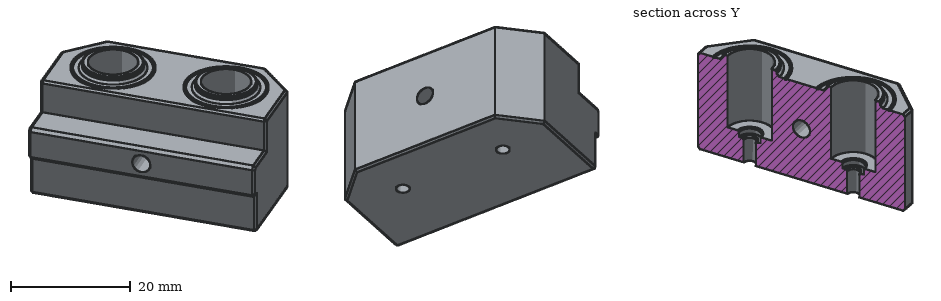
import cadquery as cq

length = 40.0
depth = 22.75
total_height = 20.0
spigot_height = 1.1
block_height = total_height - spigot_height

upper_setback = 6.0
lower_setback = 1.0
rail_bottom = 7.0
rail_top = 13.0
rail_chamfer = 0.6

corner_cut = 6.0
edge_chamfer = 0.4

cross_hole_diameter = 3.2
cross_hole_z = (rail_bottom + rail_top) / 2

bushing_spacing = 20.0
bushing_y = depth - 8.5
seat_diameter = 14.25
groove_depth = 0.25
groove_wall_run = 0.15
groove_rim_run = 0.3
cone_base_diameter = 11.5
cone_height = 0.5
spigot_diameter = 10.45
spigot_chamfer = 0.25

bore_diameter = 8.45
bore_depth = 14.0
recess_diameter = 4.1
recess_chamfer = 0.25
recess_depth = 1.2
through_diameter = 2.3
through_chamfer = 0.3


def revolved(points):
    """Solid of revolution about the Z axis from (radius, height) points."""
    return cq.Workplane("XZ").polyline(points).close().revolve(360, (0, 0, 0), (0, 1, 0))


def stepped_block():
    """Side profile with a projecting rail, its back corners cut and its outer edges chamfered."""
    profile = [
        (lower_setback, 0),
        (depth, 0),
        (depth, block_height),
        (upper_setback, block_height),
        (upper_setback, rail_top),
        (0, rail_top),
        (0, rail_bottom),
        (lower_setback, rail_bottom),
    ]
    block = cq.Workplane("YZ").polyline(profile).close().extrude(length / 2, both=True)
    block = block.edges("|Z and >Y").chamfer(corner_cut)
    block = block.edges("|X and <Y").chamfer(rail_chamfer)
    end_edges = block.faces("<X or >X").edges("not(|Z and >Y)")
    block = end_edges.add(block.faces("<Z or >Z").edges()).chamfer(edge_chamfer)
    return block


def spigot():
    """Raised collar: a cone rising from the top face to a short chamfered cylinder."""
    radius = spigot_diameter / 2
    return revolved([
        (0, block_height),
        (cone_base_diameter / 2, block_height),
        (radius, block_height + cone_height),
        (radius, total_height - spigot_chamfer),
        (radius - spigot_chamfer, total_height),
        (0, total_height),
    ])


def seat_groove():
    """V-groove around the bushing, steeper on its outer side than on the bushing rim."""
    outer_radius = seat_diameter / 2
    root_radius = outer_radius - groove_wall_run
    return revolved([
        (outer_radius, block_height),
        (root_radius, block_height - groove_depth),
        (root_radius - groove_rim_run, block_height),
    ])


def stepped_bore():
    """Large bore, chamfered recess and chamfered through hole on one axis."""
    bore_radius = bore_diameter / 2
    recess_radius = recess_diameter / 2
    through_radius = through_diameter / 2
    bore_floor = total_height - bore_depth
    recess_floor = bore_floor - recess_depth
    return revolved([
        (0, 0),
        (through_radius, 0),
        (through_radius, recess_floor - through_chamfer),
        (through_radius + through_chamfer, recess_floor),
        (recess_radius, recess_floor),
        (recess_radius, bore_floor - recess_chamfer),
        (recess_radius + recess_chamfer, bore_floor),
        (bore_radius, bore_floor),
        (bore_radius, total_height),
        (0, total_height),
    ])


def cross_hole():
    """Pin hole running along Y through the whole block."""
    return (
        cq.Workplane("XZ")
        .center(0, cross_hole_z)
        .circle(cross_hole_diameter / 2)
        .extrude(-depth)
    )


result = stepped_block().cut(cross_hole())
for bushing_x in (-bushing_spacing / 2, bushing_spacing / 2):
    place = (bushing_x, bushing_y, 0)
    result = result.union(spigot().translate(place))
    result = result.cut(seat_groove().translate(place))
    result = result.cut(stepped_bore().translate(place))